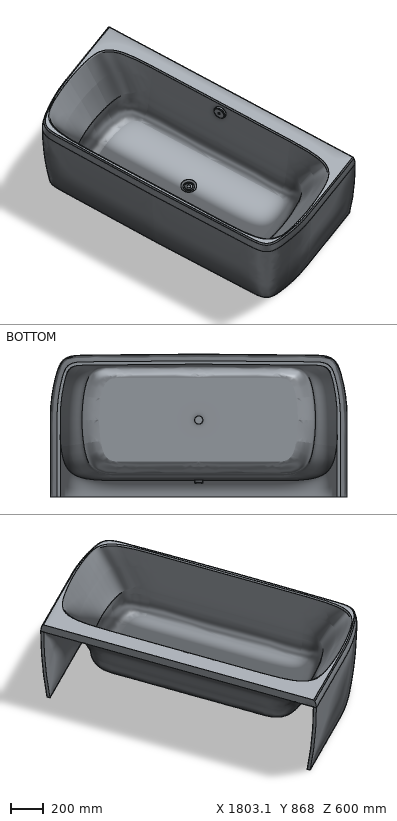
import cadquery as cq
import math

length = 1803.07
width = 868.0
height = 600.0
half_length = length / 2
back_y = width / 2
front_y = -width / 2

front_half_run = 686.0
front_bow = 6.0
side_crown = 1.5
side_rear_end_y = -52.0
side_front_end_y = -243.0
side_turn_in = 20.0
outer_corner_fullness = 0.88

rim_depth = 60.0
seam_z = height - rim_depth
apron_foot_inset = 41.0
apron_mid_inset = apron_foot_inset / 4
apron_thickness = 20.0
rim_chamfer = 8.0
rim_edge_z = height - rim_chamfer
rim_edge_inset = 10.0
rim_mid_inset = rim_edge_inset / 4

basin_y = -34.0
basin_half_run = 498.0
basin_end_bow = 10.0
lip_size = 8.0
mouth_z = height - lip_size
mouth_outline = (864.0, 359.0, 166.0, 0.85)
wall_break_z = 458.0
wall_break_outline = (778.0, 343.0, 156.0, 0.82)
wall_foot_z = 311.0
wall_foot_outline = (693.0, 322.0, 144.0, 0.78)
bowl_top_z = 275.0
bowl_top_outline = (687.0, 314.0, 142.0, 0.78)
floor_z = 168.0
floor_outline = (588.0, 237.0, 129.0, 0.72)
bowl_steps = 5
shell_thickness = 15.0

drain_recess_radius = 48.0
drain_radius = 34.0
drain_recess_depth = 8.0
drain_top_radius = 24.0
drain_dome_height = 4.0
drain_dimple_radius = 12.0
drain_dimple_depth = 3.0
drain_pipe_radius = 25.0
drain_pipe_length = 40.0

overflow_z = 530.0
overflow_radius = 40.0
overflow_thickness = 18.0
overflow_bevel = 5.0
overflow_dimple_radius = 7.0
overflow_dimple_depth = 3.0
overflow_pipe_radius = 25.0
overflow_pipe_length = 30.0


def blend(start, end, fraction):
    """Point, or set of sizes, lying a fraction of the way from start to end."""
    return tuple(a + (b - a) * fraction for a, b in zip(start, end))


def corner_curve(start, corner, end, fullness):
    """Control points, after the start, of a curve tangent to the two legs of a corner."""
    return [blend(start, corner, fullness), blend(end, corner, fullness), end]


def mirrored(points):
    """The same points on the other side of the YZ plane."""
    return [(-x, y) for x, y in points]


def outer_outline(inset, z):
    """Bath outline at height z: flat at the back, moved in by the inset elsewhere."""
    side_x = half_length - side_crown - inset
    turned_x = side_x - side_turn_in
    front = front_y + inset
    front_end_y = front + front_bow
    side_slope = 2 * side_turn_in / (side_rear_end_y - side_front_end_y)
    corner_x = turned_x - side_slope * (side_front_end_y - front_end_y)

    rear = (side_x, back_y)
    crown = (side_x + side_crown, (back_y + side_rear_end_y) / 2)
    side_end = (side_x, side_rear_end_y)
    turn_middle = (side_x - side_turn_in / 4, (side_rear_end_y + side_front_end_y) / 2)
    turn_end = (turned_x, side_front_end_y)
    front_end = (front_half_run, front_end_y)
    front_middle = (0, front)
    front_quarter = (front_half_run / 2, front + front_bow / 4)
    corner = (corner_x, front_end_y)

    right_corner = corner_curve(turn_end, corner, front_end, outer_corner_fullness)
    left_corner = mirrored(corner_curve(front_end, corner, turn_end, outer_corner_fullness))
    left = mirrored([rear, crown, side_end, turn_middle, turn_end, front_end, front_quarter])
    l_rear, l_crown, l_side_end, l_turn_middle, l_turn_end, l_front_end, l_front_quarter = left
    return (
        cq.Workplane("XY", origin=(0, 0, z))
        .moveTo(*rear)
        .threePointArc(crown, side_end)
        .threePointArc(turn_middle, turn_end)
        .bezier(right_corner, includeCurrent=True)
        .threePointArc(front_quarter, front_middle)
        .threePointArc(l_front_quarter, l_front_end)
        .bezier(left_corner, includeCurrent=True)
        .threePointArc(l_turn_middle, l_side_end)
        .threePointArc(l_crown, l_rear)
        .close()
        .val()
    )


def basin_outline(sizes, z, growth=0.0):
    """Basin outline at height z: straight long sides, bowed ends, full corners."""
    half_x, half_y, end_half, fullness = sizes
    end_x = half_x + growth
    side_y = half_y + growth
    end_slope = 2 * basin_end_bow / end_half
    bowed_x = end_x - basin_end_bow
    corner = (bowed_x - end_slope * (side_y - end_half), side_y)
    side_end = (basin_half_run, side_y)
    bow_end = (bowed_x, end_half)
    bow_quarter = (end_x - basin_end_bow / 4, end_half / 2)

    def place(point, sx, sy):
        return (sx * point[0], sy * point[1])

    outline = cq.Workplane("XY", origin=(0, basin_y, z)).moveTo(0, side_y)
    for sx, sy, side_first in ((1, 1, True), (1, -1, False), (-1, -1, True), (-1, 1, False)):
        side, bow, quarter, tip = (place(p, sx, sy) for p in (side_end, bow_end, bow_quarter, corner))
        if side_first:
            outline = (
                outline.lineTo(*side)
                .bezier(corner_curve(side, tip, bow, fullness), includeCurrent=True)
                .threePointArc(quarter, (sx * end_x, 0))
            )
        else:
            outline = (
                outline.threePointArc(quarter, bow)
                .bezier(corner_curve(bow, tip, side, fullness), includeCurrent=True)
                .lineTo(0, sy * side_y)
            )
    return outline.wire().val()


def loft(outlines, ruled=False):
    return cq.Workplane(cq.Solid.makeLoft(outlines, ruled))


def basin_form(growth=0.0):
    """Basin from its mouth to its floor; growth moves the surface outwards and down."""
    walls = [
        (mouth_outline, mouth_z),
        (wall_break_outline, wall_break_z),
        (wall_foot_outline, wall_foot_z),
        (bowl_top_outline, bowl_top_z),
    ]
    form = loft([basin_outline(sizes, z, growth) for sizes, z in walls], ruled=True)

    bowl = []
    for step in range(bowl_steps + 1):
        angle = math.pi / 2 * step / bowl_steps
        sizes = blend(bowl_top_outline, floor_outline, 1 - math.cos(angle))
        z = bowl_top_z - (bowl_top_z - floor_z + growth) * math.sin(angle)
        bowl.append(basin_outline(sizes, z, growth))
    return form.union(loft(bowl))


def lip_form():
    """Bevel that opens the mouth of the basin to the rim."""
    mouth = basin_outline(mouth_outline, mouth_z)
    opening = basin_outline(mouth_outline, height, lip_size)
    return loft([mouth, opening], ruled=True)


def drain_recess():
    """Conical seat around the drain."""
    profile = [
        (0, 0),
        (drain_recess_radius, 0),
        (drain_radius, -drain_recess_depth),
        (0, -drain_recess_depth),
    ]
    seat = cq.Workplane("XZ").polyline(profile).close().revolve(360, (0, 0), (0, 1))
    return seat.translate((0, basin_y, floor_z))


def make_drain():
    """Bevelled plug on a pipe, seated in the recess."""
    plug_top = drain_dome_height - drain_recess_depth
    profile = [
        (0, plug_top - drain_dimple_depth),
        (drain_dimple_radius, plug_top - drain_dimple_depth),
        (drain_dimple_radius, plug_top),
        (drain_top_radius, plug_top),
        (drain_radius, -drain_recess_depth),
        (drain_pipe_radius, -drain_recess_depth),
        (drain_pipe_radius, -drain_pipe_length),
        (0, -drain_pipe_length),
    ]
    plug = cq.Workplane("XZ").polyline(profile).close().revolve(360, (0, 0), (0, 1))
    return plug.translate((0, basin_y, floor_z))


def make_overflow():
    """Bevelled cap lying on the sloping back wall, with its pipe through the wall."""
    wall_run = mouth_outline[1] - wall_break_outline[1]
    wall_slope = wall_run / (mouth_z - wall_break_z)
    wall_y = basin_y + mouth_outline[1] - wall_slope * (mouth_z - overflow_z)
    wall = cq.Plane(origin=(0, wall_y, overflow_z), xDir=(1, 0, 0), normal=(0, -1, wall_slope))
    cap = (
        cq.Workplane(wall)
        .circle(overflow_radius)
        .extrude(overflow_thickness)
        .faces(cq.selectors.DirectionMinMaxSelector(wall.zDir, True))
        .chamfer(overflow_bevel)
    )
    dimple = (
        cq.Workplane(wall)
        .workplane(offset=overflow_thickness - overflow_dimple_depth)
        .circle(overflow_dimple_radius)
        .extrude(overflow_dimple_depth)
    )
    pipe = cq.Workplane(wall).circle(overflow_pipe_radius).extrude(-overflow_pipe_length)
    return cap.cut(dimple).union(pipe)


def make_tub(drain, overflow):
    """Rim and basin shell in one piece, open where the drain and overflow pass."""
    rim_edge = outer_outline(rim_edge_inset, rim_edge_z)
    rim_wall = loft([
        outer_outline(0, seam_z),
        outer_outline(rim_mid_inset, (seam_z + rim_edge_z) / 2),
        rim_edge,
    ])
    rim_bevel = loft([rim_edge, outer_outline(rim_edge_inset + rim_chamfer, height)], ruled=True)
    tub = rim_wall.union(rim_bevel).union(basin_form(shell_thickness))
    tub = tub.cut(basin_form()).cut(lip_form())
    return tub.cut(drain_recess()).cut(drain).cut(overflow)


def apron_form(offset=0.0):
    """Bulging block under the rim; the offset moves its sides and front inwards."""
    return loft([
        outer_outline(offset + apron_foot_inset, 0),
        outer_outline(offset + apron_mid_inset, seam_z / 2),
        outer_outline(offset, seam_z),
    ])


def make_apron():
    """Panel around the front and both sides, open towards the wall behind the bath."""
    return apron_form().cut(apron_form(apron_thickness))


drain = make_drain()
overflow = make_overflow()
tub = make_tub(drain, overflow)
apron = make_apron()

bodies = [tub, apron, drain, overflow]
result = cq.Compound.makeCompound([body.solids().val() for body in bodies])